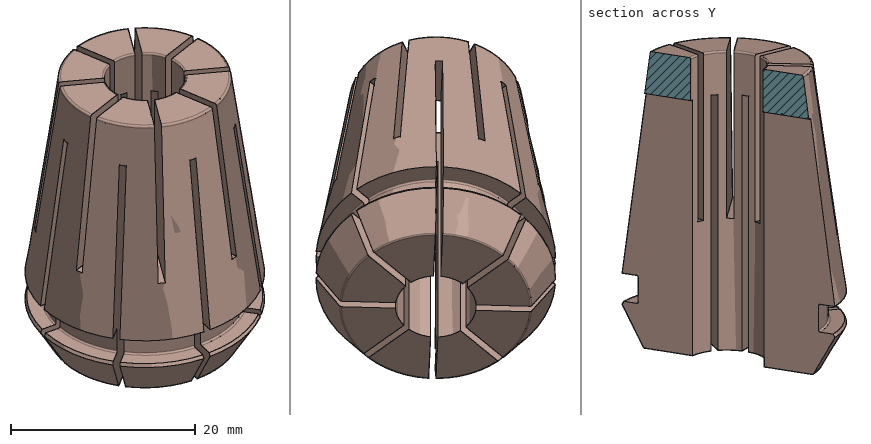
import cadquery as cq
import math

height = 34.0
body_diameter = 25.98
bore_diameter = 8.75
edge_radius = 0.2
top_edge_radius = 0.27

cone_base_z = 8.13
cone_half_angle = 8.0
cone_base_radius = body_diameter / 2
cone_top_radius = cone_base_radius - (height - cone_base_z) * math.tan(math.radians(cone_half_angle))

groove_radius = 11.0
flange_top_z = 4.95
flange_half_angle = 30.0
rim_radius = body_diameter / 2
rim_z = 4.6
rim_bevel = 0.2
flange_base_radius = rim_radius - rim_z * math.tan(math.radians(flange_half_angle))

slot_count = 8
slot_width = 0.78
lower_slot_top_z = 29.07
upper_slot_bottom_z = 15.0
slot_pitch = 360 / slot_count
slot_length = body_diameter

match_tolerance = 0.005


def circles_at(body, rings):
    """Return the circular edges of the body that match the given (radius, height) pairs."""
    def matches(edge, radius, z):
        same_radius = math.isclose(edge.radius(), radius, abs_tol=match_tolerance)
        return same_radius and math.isclose(edge.Center().z, z, abs_tol=match_tolerance)

    circles = body.edges("%CIRCLE").vals()
    return body.newObject([edge for edge in circles if any(matches(edge, *ring) for ring in rings)])


def make_body():
    """Revolve the outer outline, then round its edges."""
    base_edge = (flange_base_radius, 0)
    groove_bottom = (groove_radius, flange_top_z)
    groove_top = (groove_radius, cone_base_z)
    top_edge = (cone_top_radius, height)
    outline = [
        (0, 0),
        base_edge,
        (rim_radius, rim_z),
        (rim_radius - rim_bevel, flange_top_z),
        groove_bottom,
        groove_top,
        (cone_base_radius, cone_base_z),
        top_edge,
        (0, height),
    ]
    body = cq.Workplane("XZ").polyline(outline).close().revolve(360, (0, 0), (0, 1))
    body = circles_at(body, [base_edge, groove_bottom, groove_top]).fillet(edge_radius)
    return circles_at(body, [top_edge]).fillet(top_edge_radius)


def cut_bore(body):
    """Cut the through bore and round its top mouth."""
    body = body.faces(">Z").workplane().hole(bore_diameter)
    return circles_at(body, [(bore_diameter / 2, height)]).fillet(edge_radius)


def cut_slots(body, bottom_z, top_z, start_angle):
    """Cut one ring of radial slots, each open from the bore to the outside."""
    blade = cq.Workplane("XY").box(slot_length, slot_width, top_z - bottom_z, centered=(False, True, False))
    blade = blade.translate((0, 0, bottom_z))
    for index in range(slot_count):
        angle = start_angle + index * slot_pitch
        body = body.cut(blade.rotate((0, 0, 0), (0, 0, 1), angle))
    return body


collet = cut_bore(make_body())
collet = cut_slots(collet, 0, lower_slot_top_z, 0)
result = cut_slots(collet, upper_slot_bottom_z, height, slot_pitch / 2)